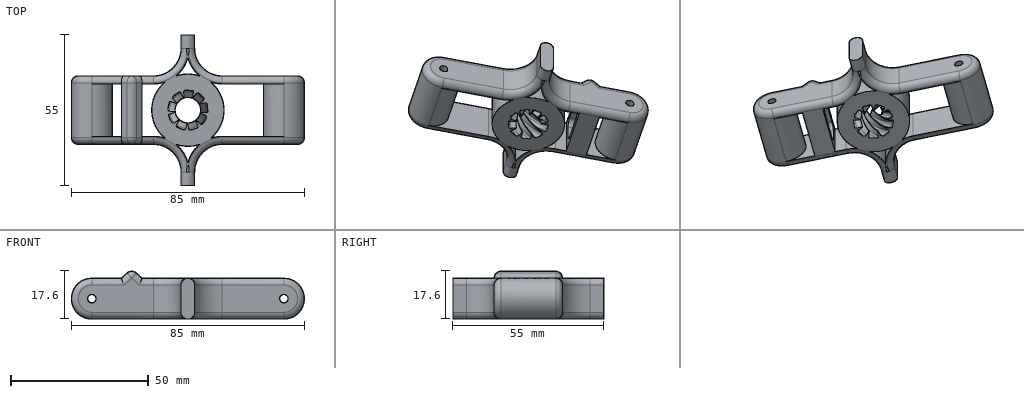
import cadquery as cq
import math

length = 85.0
height = 15.0
body_width = 25.0
wall = 3.0
pin_hole_diameter = 3.0

arm_width = 5.0
arm_bend_radius = 10.0
arm_span = 55.0

bar_x = -20.5
ridge_rise = 2.55
ridge_slope = math.radians(42)
window_width = 13.9
window_height = 10.0
window_corner_radius = 2.4

hub_diameter = 26.4
bore_diameter = 9.3
flute_count = 9
flute_root_radius = 3.8
flute_floor_radius = 7.2
flute_root_width = 2.9
flute_floor_width = 3.7
flute_corner_radius = 0.7
flute_twist = 105.0
flute_top_angle = 88.0

half_height = height / 2
half_width = body_width / 2
rim_radius = arm_width / 2
end_x = length / 2 - half_height
bend_x = rim_radius + arm_bend_radius
bend_y = half_width + arm_bend_radius
inner_width = body_width - 2 * wall
tip_length = arm_span / 2 - bend_y

crest_z = half_height + ridge_rise
flank_x = rim_radius * math.sin(ridge_slope)
flank_z = crest_z - rim_radius + rim_radius * math.cos(ridge_slope)
bar_half = flank_x + (flank_z - half_height) / math.tan(ridge_slope)


def draw_ridge(outline):
    """Continue an outline over the ridge, from its -X foot to its +X foot."""
    return (
        outline.lineTo(bar_x - bar_half, half_height)
        .lineTo(bar_x - flank_x, flank_z)
        .threePointArc((bar_x, crest_z), (bar_x + flank_x, flank_z))
        .lineTo(bar_x + bar_half, half_height)
    )


def end_body(has_bar):
    """Solid -X end of the frame up to the bends, rounded along both side rims."""
    outline = (
        cq.Workplane("XZ", origin=(0, half_width, 0))
        .moveTo(-bend_x, -half_height)
        .lineTo(-end_x, -half_height)
        .threePointArc((-length / 2, 0), (-end_x, half_height))
    )
    if has_bar:
        outline = draw_ridge(outline)
    body = outline.lineTo(-bend_x, half_height).close().extrude(body_width)
    return body.faces(">Y or <Y").edges("not(>X)").fillet(rim_radius)


def opening(start_x, stop_x):
    """Vertical opening between the side walls."""
    return (
        cq.Workplane("XY")
        .center((start_x + stop_x) / 2, 0)
        .box(stop_x - start_x, inner_width, height)
    )


def roller():
    """Solid cylinder between the side walls at the -X end."""
    return (
        cq.Workplane("XZ", origin=(-end_x, half_width, 0))
        .circle(half_height)
        .extrude(body_width)
    )


def pin_hole():
    """Bore along Y through the -X roller and its side walls."""
    return (
        cq.Workplane("XZ", origin=(-end_x, half_width, 0))
        .circle(pin_hole_diameter / 2)
        .extrude(body_width)
    )


def bar_window():
    """Round-cornered opening along X through the stop bar."""
    return (
        cq.Workplane("YZ", origin=(bar_x - bar_half, 0, 0))
        .rect(window_width, window_height)
        .extrude(2 * bar_half)
        .edges("|X")
        .fillet(window_corner_radius)
    )


def frame_end(has_bar):
    """-X end of the frame: roller, straight side walls and, if wanted, the stop bar."""
    body = end_body(has_bar).cut(pin_hole())
    if has_bar:
        roller_gap = opening(-end_x, bar_x - bar_half).cut(roller())
        hub_gap = opening(bar_x + bar_half, -bend_x)
        return body.cut(roller_gap).cut(hub_gap).cut(bar_window())
    return body.cut(opening(-end_x, -bend_x).cut(roller()))


def bent_wall():
    """Quarter bend carrying the wall section outwards to the arm tip."""
    rim_y = half_width - rim_radius
    rim_z = half_height - rim_radius
    return (
        cq.Workplane("YZ", origin=(-bend_x, 0, 0))
        .moveTo(half_width - wall, -half_height)
        .lineTo(rim_y, -half_height)
        .radiusArc((half_width, -rim_z), -rim_radius)
        .lineTo(half_width, rim_z)
        .radiusArc((rim_y, half_height), -rim_radius)
        .lineTo(half_width - wall, half_height)
        .close()
        .revolve(90, (bend_y, 0, 0), (bend_y, 1, 0))
    )


def arm_tip():
    """Straight end of the +Y arm, round along its top and bottom."""
    return (
        cq.Workplane("XZ", origin=(0, arm_span / 2, 0))
        .slot2D(height, arm_width, 90)
        .extrude(tip_length)
    )


def arm():
    """+Y arm: two mirrored bends and the tip they share."""
    bend = bent_wall()
    return bend.union(bend.mirror("YZ")).union(arm_tip())


def hub_cylinder(diameter):
    """Full-height cylinder on the hub axis."""
    return cq.Workplane("XY", origin=(0, 0, -half_height)).circle(diameter / 2).extrude(height)


def flute():
    """Helical groove, widening outwards to a flat floor with round corners."""
    section = cq.Sketch().polygon([
        (flute_root_radius, -flute_root_width / 2),
        (flute_floor_radius, -flute_floor_width / 2),
        (flute_floor_radius, flute_floor_width / 2),
        (flute_root_radius, flute_root_width / 2),
        (flute_root_radius, -flute_root_width / 2),
    ])
    section = section.vertices(">X").fillet(flute_corner_radius)
    bottom_angle = flute_top_angle - flute_twist
    return (
        cq.Workplane("XY", origin=(0, 0, -half_height))
        .placeSketch(section)
        .twistExtrude(height, flute_twist)
        .rotate((0, 0, 0), (0, 0, 1), bottom_angle)
    )


def hub():
    """Round hub with a central bore and evenly spaced flutes."""
    body = hub_cylinder(hub_diameter).cut(hub_cylinder(bore_diameter))
    first_flute = flute()
    for index in range(flute_count):
        angle = index * 360 / flute_count
        body = body.cut(first_flute.rotate((0, 0, 0), (0, 0, 1), angle))
    return body


back_arm = arm()
result = (
    hub()
    .union(back_arm)
    .union(back_arm.mirror("XZ"))
    .union(frame_end(has_bar=True))
    .union(frame_end(has_bar=False).mirror("YZ"))
)